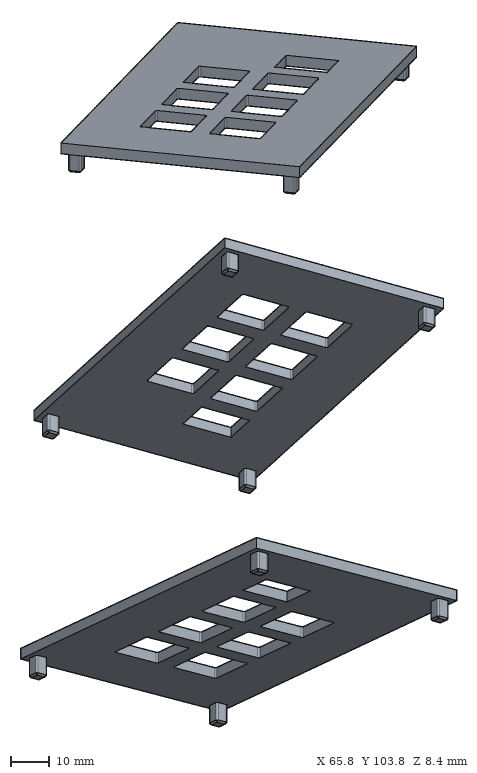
import cadquery as cq

PLATE_WIDTH = 65.8
PLATE_LENGTH = 103.8
PLATE_THICKNESS = 3.0

KEY_SIZE = 14.0
KEY_CORNER_RADIUS = 0.5
KEY_PITCH = 19.1
KEY_COLUMNS = 2
KEY_ROWS = 3
KEY_GRID_CENTER = (-0.4, -6.7)

DISPLAY_WIDTH = 14.4
DISPLAY_HEIGHT = 10.2
DISPLAY_CENTER = (9.5, 29.5)

OVERALL_HEIGHT = 8.4
PEG_LENGTH = OVERALL_HEIGHT - PLATE_THICKNESS
PEG_SIZE = 3.5
PEG_CORNER_RADIUS = 0.5
PEG_TIP_CHAMFER = 0.5
PEG_OFFSET_X = 29.6
PEG_OFFSET_Y = 48.7


def make_plate():
    """Flat plate pierced by the key windows and the display window."""
    blank = cq.Workplane("XY").rect(PLATE_WIDTH, PLATE_LENGTH).extrude(PLATE_THICKNESS)
    key_windows = (
        cq.Workplane("XY")
        .center(*KEY_GRID_CENTER)
        .rarray(KEY_PITCH, KEY_PITCH, KEY_COLUMNS, KEY_ROWS)
        .rect(KEY_SIZE, KEY_SIZE)
        .extrude(PLATE_THICKNESS)
        .edges("|Z")
        .fillet(KEY_CORNER_RADIUS)
    )
    display_window = (
        cq.Workplane("XY")
        .center(*DISPLAY_CENTER)
        .rect(DISPLAY_WIDTH, DISPLAY_HEIGHT)
        .extrude(PLATE_THICKNESS)
    )
    return blank.cut(key_windows).cut(display_window)


def make_peg(x, y):
    """Square peg hanging from the plate underside, with rounded long edges and a chamfered tip."""
    return (
        cq.Workplane("XY")
        .center(x, y)
        .rect(PEG_SIZE, PEG_SIZE)
        .extrude(-PEG_LENGTH)
        .edges("|Z")
        .fillet(PEG_CORNER_RADIUS)
        .faces("<Z")
        .edges()
        .chamfer(PEG_TIP_CHAMFER)
    )


plate = make_plate()

pegs = []
for side_x in (-1, 1):
    for side_y in (-1, 1):
        pegs.append(make_peg(side_x * PEG_OFFSET_X, side_y * PEG_OFFSET_Y).val())

result = cq.Compound.makeCompound([plate.val(), *pegs])